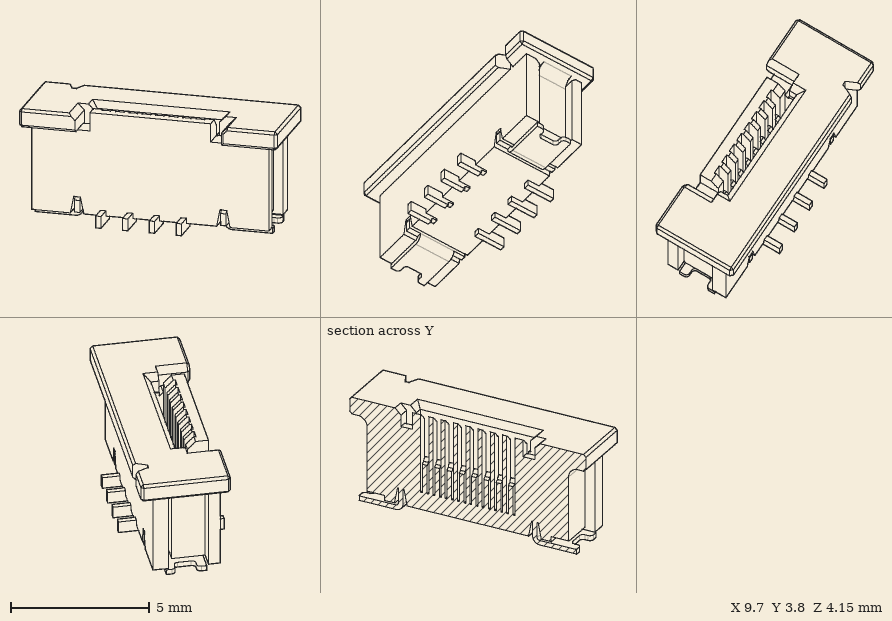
import cadquery as cq
import math

total_length = 9.7
total_height = 4.15
pitch = 0.5
contact_count = 8

housing_length = 8.92
housing_depth = 2.48
housing_bottom = 0.25
housing_top = 3.45

channel_back = 0.66
channel_front = -0.805
channel_flare = 0.16

partition_top = 3.4
partition_round = 0.08
partition_half = 3.06
ledge_half = 3.38
ledge_top = 2.56
ledge_slope_bottom = 2.24
skirt_half = 3.42
skirt_top = 2.15

flange_back = 1.75
flange_front = -1.56
flange_chamfer = 0.1
plug_back = 0.485
plug_front = -0.75
plug_half = 4.14
plug_bottom = 0.46
plug_fillet = 0.37

window_half = 2.74
window_back = -0.32
lead_in = 0.24

slot_back = -0.02
slot_upper_half = 2.34
slot_half = 2.27
slot_bottom = 0.97
wall_back = -0.77
shelf_back = -0.47

notch_x = -3.56
notch_mouth = 0.62
notch_floor = 0.16

contact_width = 0.2
contact_groove_width = 0.32
contact_groove_front = -0.84
contact_tip_y = -0.25
contact_crest_y = -0.5
contact_crest_z = 2.33
contact_crest_round = 0.14
contact_front_drop = 0.08
contact_root = 0.78
lead_reach = 1.9
lead_height = 0.46
lead_heel = 0.98
lead_inner = 0.75
lead_step = 0.165
lead_round = 0.08

nail_thickness = 0.2
nail_inner_x = 2.65
nail_bend = 0.3
nail_half_width = 0.75
nail_shoulder = 0.76
nail_fork_half = 0.25
nail_fork_depth = 0.42
nail_fork_round = 0.15

cutout_top = 0.89
cutout_top_width = 0.25
cutout_bottom_width = 0.5

housing_half = housing_length / 2
wall_face = housing_depth / 2


def block(x0, x1, y0, y1, z0, z1):
    """Axis-aligned box between two corners."""
    return cq.Workplane("XY").box(x1 - x0, y1 - y0, z1 - z0, centered=False).translate((x0, y0, z0))


def quarter_arc_inset(radius):
    """Distance from the bounding square of a quarter arc to the arc's midpoint, along either axis."""
    return radius * (1 - math.cos(math.radians(45)))


def lengthwise(points, half):
    """Prism along X from a closed (Y, Z) outline."""
    return cq.Workplane("YZ").polyline(points).close().extrude(half, both=True)


def crosswise(points, y0, y1):
    """Prism along Y from a closed (X, Z) outline."""
    return cq.Workplane("XZ", origin=(0, y1, 0)).polyline(points).close().extrude(y1 - y0)


def make_housing():
    walls = block(-housing_half, housing_half, -wall_face, wall_face, housing_bottom, housing_top)
    flare_bottom = housing_top - channel_flare
    channel = lengthwise(
        [
            (channel_front, housing_bottom),
            (channel_back, housing_bottom),
            (channel_back, flare_bottom),
            (channel_back + channel_flare, housing_top),
            (channel_front - channel_flare, housing_top),
            (channel_front, flare_bottom),
        ],
        housing_half,
    )
    return walls.cut(channel)


def make_partition():
    upper = block(
        -partition_half, partition_half, channel_front, channel_back, housing_bottom, partition_top
    )
    upper = upper.edges("|X and >Z and >Y").fillet(partition_round)
    ledge = crosswise(
        [
            (-ledge_half, housing_bottom),
            (ledge_half, housing_bottom),
            (ledge_half, ledge_slope_bottom),
            (partition_half, ledge_top),
            (-partition_half, ledge_top),
            (-ledge_half, ledge_slope_bottom),
        ],
        channel_front,
        channel_back,
    )
    skirt = block(-skirt_half, skirt_half, channel_front, channel_back, housing_bottom, skirt_top)
    return upper.union(ledge).union(skirt)


def make_shelf_bevel():
    """Wedge to remove so that the shelf in the window slopes down along its rear edge."""
    slope = window_back - shelf_back
    return lengthwise(
        [(shelf_back, housing_top), (window_back, housing_top - slope), (window_back, housing_top)],
        window_half,
    )


def make_front_shelf():
    """Solid floor of the window between the front wall and the slot."""
    return block(-window_half, window_half, -wall_face, window_back, ledge_top, housing_top)


def make_flange():
    half = total_length / 2
    flange = block(-half, half, flange_front, flange_back, housing_top, total_height)
    flange = flange.edges().chamfer(flange_chamfer)

    chamfer_bottom = total_height - lead_in
    right_side = [
        (window_half, housing_top),
        (window_half, chamfer_bottom),
        (window_half + lead_in, total_height),
    ]
    left_side = [(-x, z) for x, z in reversed(right_side)]
    window = crosswise(right_side + left_side, flange_front, window_back)

    inner_edge = [(0, total_height), (0, housing_top)]
    bevelled_side = [(x + flange_chamfer, z) for x, z in right_side]
    bevel = (
        cq.Workplane("XZ", origin=(0, flange_front + flange_chamfer, 0))
        .polyline(inner_edge + right_side)
        .close()
        .workplane(offset=flange_chamfer)
        .polyline(inner_edge + bevelled_side)
        .close()
        .loft(ruled=True)
    )

    notch = (
        cq.Workplane("XY", origin=(0, 0, housing_top))
        .moveTo(notch_x - notch_mouth / 2, flange_back)
        .lineTo(notch_x - notch_floor / 2, wall_face)
        .lineTo(notch_x + notch_floor / 2, wall_face)
        .lineTo(notch_x + notch_mouth / 2, flange_back)
        .close()
        .extrude(total_height - housing_top)
    )
    return flange.cut(window).cut(bevel).cut(notch)


def make_plug():
    """Plug under the flange, its ends blending into the flange with a concave round."""
    round_start = housing_top - plug_fillet
    round_end = plug_half + plug_fillet
    sag = quarter_arc_inset(plug_fillet)
    return (
        cq.Workplane("XZ", origin=(0, plug_back, 0))
        .moveTo(-plug_half, plug_bottom)
        .lineTo(plug_half, plug_bottom)
        .lineTo(plug_half, round_start)
        .threePointArc((plug_half + sag, housing_top - sag), (round_end, housing_top))
        .lineTo(-round_end, housing_top)
        .threePointArc((-plug_half - sag, housing_top - sag), (-plug_half, round_start))
        .close()
        .extrude(plug_back - plug_front)
    )


def make_front_wall():
    """Wall in front of the slot, its rear top edge ramped down to guide the cable."""
    ramp_bottom = total_height - (shelf_back - wall_back)
    return lengthwise(
        [
            (-wall_face, housing_bottom),
            (shelf_back, housing_bottom),
            (shelf_back, ramp_bottom),
            (wall_back, total_height),
            (-wall_face, total_height),
        ],
        slot_half,
    )


def make_cable_slot():
    """Slot for the cable: bevelled mouth, wide upper part, and narrower lower part."""
    mouth_bottom = total_height - lead_in
    front = -wall_face
    middle = (front + slot_back) / 2
    depth = slot_back - front
    mouth = (
        cq.Workplane("XY", origin=(0, middle, mouth_bottom))
        .rect(2 * slot_upper_half, depth)
        .workplane(offset=lead_in)
        .rect(2 * (slot_upper_half + lead_in), depth + 2 * lead_in)
        .loft(ruled=True)
    )
    upper = block(-slot_upper_half, slot_upper_half, shelf_back, slot_back, housing_top, mouth_bottom)
    lower = block(-slot_half, slot_half, shelf_back, slot_back, slot_bottom, housing_top)
    return mouth.union(upper).union(lower)


def make_contact(x):
    """Contact blade in its groove, with a sloped head and rounded crest reaching into the slot."""
    sag = quarter_arc_inset(contact_crest_round)
    front_shoulder_y = contact_crest_y - contact_crest_round
    front_shoulder_z = contact_crest_z - contact_crest_round
    slope_bottom = contact_crest_z - (contact_tip_y - contact_crest_y)
    return (
        cq.Workplane("YZ", origin=(x - contact_width / 2, 0, 0))
        .moveTo(wall_back, contact_root)
        .lineTo(contact_tip_y, contact_root)
        .lineTo(contact_tip_y, slope_bottom)
        .lineTo(contact_crest_y, contact_crest_z)
        .threePointArc(
            (front_shoulder_y + sag, contact_crest_z - sag), (front_shoulder_y, front_shoulder_z)
        )
        .lineTo(wall_back, front_shoulder_z - contact_front_drop)
        .close()
        .extrude(contact_width)
    )


def make_front_lead(x):
    """Straight solder lead leaving the housing towards -Y."""
    left = x - contact_width / 2
    return block(left, left + contact_width, -lead_reach, -lead_inner, 0, lead_height)


def make_back_lead(x):
    """Solder lead leaving the housing towards +Y, stepped up behind a rounded heel."""
    sag = quarter_arc_inset(lead_round)
    return (
        cq.Workplane("YZ", origin=(x - contact_width / 2, 0, 0))
        .moveTo(lead_heel, 0)
        .lineTo(lead_reach, 0)
        .lineTo(lead_reach, lead_height)
        .lineTo(lead_inner, lead_height)
        .lineTo(lead_inner, lead_step)
        .lineTo(lead_heel - lead_round, lead_step)
        .threePointArc((lead_heel - sag, lead_step - sag), (lead_heel, lead_step - lead_round))
        .close()
        .extrude(contact_width)
    )


def make_nail_cutout():
    """Tapered opening through both long walls for the nail leg on the +X side."""
    centre = nail_inner_x + nail_thickness / 2
    return crosswise(
        [
            (centre - cutout_bottom_width / 2, housing_bottom),
            (centre + cutout_bottom_width / 2, housing_bottom),
            (centre + cutout_top_width / 2, cutout_top),
            (centre - cutout_top_width / 2, cutout_top),
        ],
        -wall_face,
        wall_face,
    )


def make_nail():
    """Solder nail on the +X side: forked foot, bend, and a leg anchored in the housing."""
    outer_x = nail_inner_x + nail_thickness
    bend_x = nail_inner_x + nail_bend
    inner_bend = nail_bend - nail_thickness
    outer_mid = nail_bend * math.sin(math.radians(45))
    inner_mid = inner_bend * math.sin(math.radians(45))
    foot = (
        cq.Workplane("XZ", origin=(0, nail_half_width, 0))
        .moveTo(housing_half, 0)
        .lineTo(bend_x, 0)
        .threePointArc((bend_x - outer_mid, nail_bend - outer_mid), (nail_inner_x, nail_bend))
        .lineTo(outer_x, nail_bend)
        .threePointArc((bend_x - inner_mid, nail_bend - inner_mid), (bend_x, nail_thickness))
        .lineTo(housing_half, nail_thickness)
        .close()
        .extrude(2 * nail_half_width)
    )

    root_x = housing_half - nail_fork_depth
    waist = nail_fork_half + nail_fork_round
    mouth = waist + nail_fork_round
    sag = quarter_arc_inset(nail_fork_round)
    root_round_x = root_x + nail_fork_round
    tip_round_x = housing_half - nail_fork_round
    fork = (
        cq.Workplane("XY")
        .moveTo(root_x, -nail_fork_half)
        .threePointArc((root_x + sag, sag - waist), (root_round_x, -waist))
        .lineTo(tip_round_x, -waist)
        .threePointArc((housing_half - sag, -waist - sag), (housing_half, -mouth))
        .lineTo(housing_half, mouth)
        .threePointArc((housing_half - sag, waist + sag), (tip_round_x, waist))
        .lineTo(root_round_x, waist)
        .threePointArc((root_x + sag, waist - sag), (root_x, nail_fork_half))
        .close()
        .extrude(nail_thickness)
    )

    anchor_top = cutout_top + nail_thickness
    shoulder_inset = anchor_top - nail_shoulder
    leg = (
        cq.Workplane("YZ", origin=(nail_inner_x, 0, 0))
        .moveTo(-wall_face, nail_bend)
        .lineTo(wall_face, nail_bend)
        .lineTo(wall_face, nail_shoulder)
        .lineTo(wall_face - shoulder_inset, anchor_top)
        .lineTo(shoulder_inset - wall_face, anchor_top)
        .lineTo(-wall_face, nail_shoulder)
        .close()
        .extrude(nail_thickness)
    )
    return foot.cut(fork).union(leg)


body = make_housing().union(make_partition()).union(make_plug()).union(make_front_shelf())
body = body.cut(make_shelf_bevel()).union(make_flange()).cut(make_cable_slot())
body = body.union(make_front_wall())

cutout = make_nail_cutout()
nail = make_nail()
body = body.cut(cutout).cut(cutout.mirror("YZ"))
body = body.union(nail).union(nail.mirror("YZ"))

for index in range(contact_count):
    contact_x = (index - (contact_count - 1) / 2) * pitch
    groove = block(
        contact_x - contact_groove_width / 2,
        contact_x + contact_groove_width / 2,
        contact_groove_front,
        shelf_back,
        slot_bottom,
        total_height,
    )
    lead = make_front_lead(contact_x) if index % 2 == 0 else make_back_lead(contact_x)
    body = body.cut(groove).union(make_contact(contact_x)).union(lead)

result = body